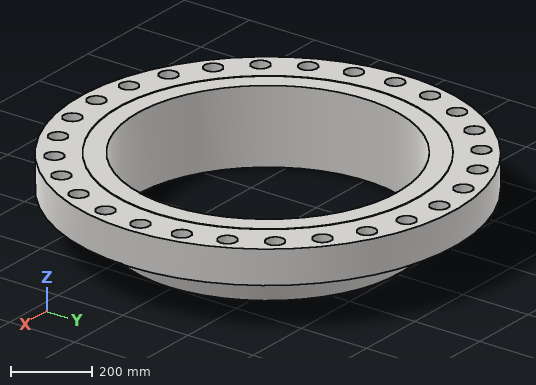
import cadquery as cq

flange_diameter = 1149.35
overall_height = 222.25

ring_thickness = 98.5
raised_face_diameter = 914.4
raised_face_height = 1.6

bore_diameter = 796.9
hub_base_diameter = 882.65
hub_end_diameter = 819.0
hub_fillet_radius = 18.0

weld_land = 2.2
bevel_height = 6.4

bolt_count = 28
bolt_circle_diameter = 1054.1
bolt_hole_diameter = 50.8

ring_top_z = overall_height - raised_face_height
underside_z = ring_top_z - ring_thickness


def revolved_body():
    """Solid of revolution: hub, flange ring and raised face around the bore."""
    bore_radius = bore_diameter / 2
    profile = (
        cq.Workplane("XZ")
        .moveTo(bore_radius, 0)
        .lineTo(bore_radius + weld_land, 0)
        .lineTo(hub_end_diameter / 2, bevel_height)
        .lineTo(hub_base_diameter / 2, underside_z)
        .lineTo(flange_diameter / 2, underside_z)
        .lineTo(flange_diameter / 2, ring_top_z)
        .lineTo(raised_face_diameter / 2, ring_top_z)
        .lineTo(raised_face_diameter / 2, overall_height)
        .lineTo(bore_radius, overall_height)
        .close()
    )
    return profile.revolve(360, (0, 0, 0), (0, 1, 0))


def round_hub_root(body):
    """Fillet the corner between the hub and the underside of the flange."""
    margin = 1.0
    reach = hub_base_diameter / 2 + margin
    around_root = cq.selectors.BoxSelector(
        (-reach, -reach, underside_z - margin),
        (reach, reach, underside_z + margin),
        boundingbox=True,
    )
    return body.edges(around_root).fillet(hub_fillet_radius)


def bolt_holes():
    """Ring of cylinders that cut the bolt holes through the flange."""
    return (
        cq.Workplane("XY")
        .workplane(offset=underside_z)
        .polarArray(bolt_circle_diameter / 2, 0, 360, bolt_count, rotate=False)
        .circle(bolt_hole_diameter / 2)
        .extrude(ring_thickness)
    )


result = round_hub_root(revolved_body()).cut(bolt_holes())